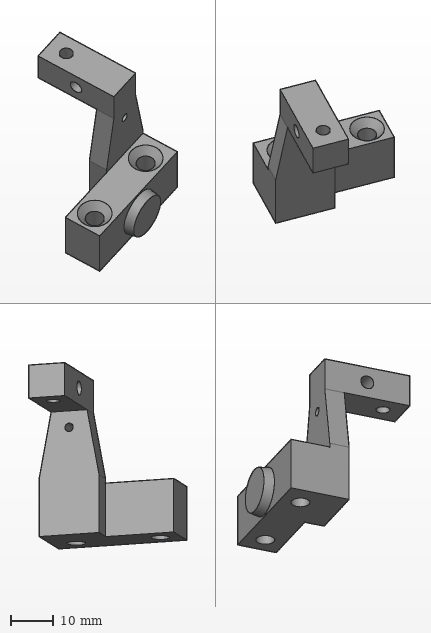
import cadquery as cq

total_height = 38.0

block_width = 10.0
block_length = 32.0
block_height = 13.0
screw_diameter = 4.5
countersink_diameter = 8.2
countersink_angle = 90
screw_front_offset = 5.0
screw_back_offset = 6.0

boss_length = 2.5
boss_base_diameter = 12.0
boss_tip_diameter = 11.1

plate_thickness = 5.0
plate_width = 15.0
taper_start_height = 14.0
plate_hole_diameter = 2.0
plate_hole_height = 26.0

arm_length = 22.0
arm_width = 9.0
arm_height = 8.0
arm_hole_diameter = 3.3
end_hole_offset = 5.0

block_start = arm_length
plate_start = arm_length - plate_thickness
plate_center = block_length - plate_width / 2
arm_bottom = total_height - arm_height


def make_block():
    block = cq.Workplane("XY").box(block_width, block_length, block_height, centered=False)
    screw_points = [
        (block_width / 2, screw_front_offset),
        (block_width / 2, block_length - screw_back_offset),
    ]
    block = (
        block.faces(">Z")
        .workplane(origin=(0, 0, block_height))
        .pushPoints(screw_points)
        .cskHole(screw_diameter, countersink_diameter, countersink_angle)
    )
    return block.translate((block_start, 0, 0))


def make_boss():
    center = (block_start + block_width, block_length / 2, block_height / 2)
    return (
        cq.Workplane("YZ", origin=center)
        .circle(boss_base_diameter / 2)
        .workplane(offset=boss_length)
        .circle(boss_tip_diameter / 2)
        .loft(ruled=True)
    )


def make_plate():
    """Upright that narrows from its full width to the width of the arm."""
    half_plate = plate_width / 2
    half_arm = arm_width / 2
    plate = (
        cq.Workplane("YZ", origin=(plate_start, plate_center, 0))
        .moveTo(-half_plate, 0)
        .lineTo(half_plate, 0)
        .lineTo(half_plate, taper_start_height)
        .lineTo(half_arm, arm_bottom)
        .lineTo(-half_arm, arm_bottom)
        .lineTo(-half_plate, taper_start_height)
        .close()
        .extrude(plate_thickness)
    )
    hole = (
        cq.Workplane("YZ", origin=(plate_start, plate_center, plate_hole_height))
        .circle(plate_hole_diameter / 2)
        .extrude(plate_thickness)
    )
    return plate.cut(hole)


def make_arm():
    """Bar with a vertical hole near its free end and a cross hole at mid length."""
    arm_center = (arm_length / 2, plate_center, arm_bottom + arm_height / 2)
    arm = cq.Workplane("XY").box(arm_length, arm_width, arm_height).translate(arm_center)
    end_hole = (
        cq.Workplane("XY", origin=(end_hole_offset, plate_center, arm_bottom))
        .circle(arm_hole_diameter / 2)
        .extrude(arm_height)
    )
    cross_hole = (
        cq.Workplane("XZ", origin=arm_center)
        .circle(arm_hole_diameter / 2)
        .extrude(arm_width / 2, both=True)
    )
    return arm.cut(end_hole).cut(cross_hole)


result = make_block().union(make_boss()).union(make_plate()).union(make_arm())